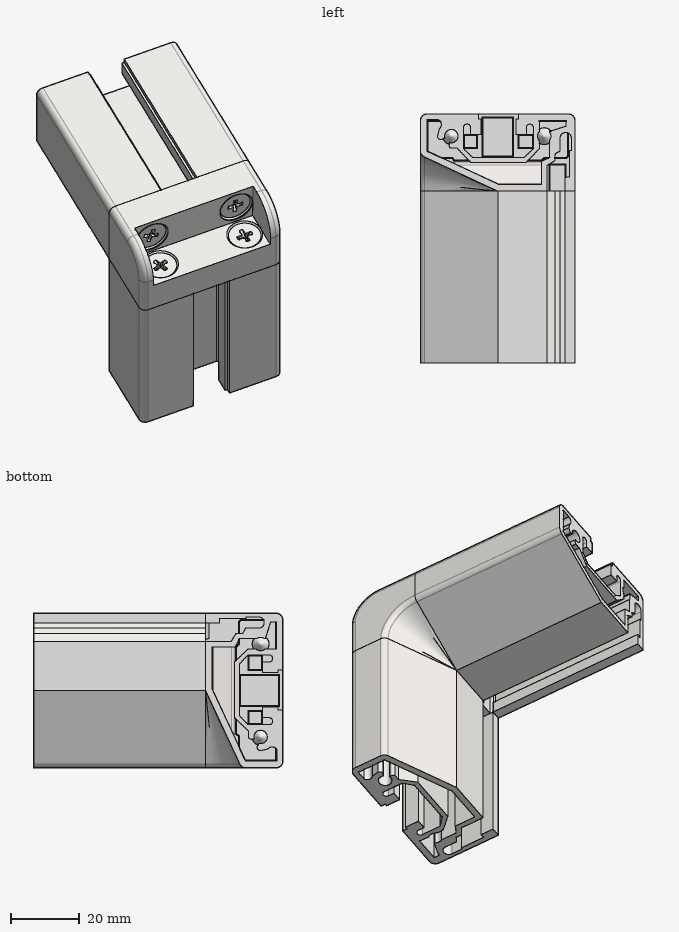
import cadquery as cq
import math


width = 45.0
thick = 22.5
arm_length = 50.0
top = arm_length + thick
edge_r = 2.0
corner_r = 10.0
flank_rise = 10.5
flank_run = 22.5
flank_slope = flank_rise / flank_run
beyond = 2.0

wall = 2.0
floor_depth = 20.6
flank_top = 10.8
chamber_top_back = 1.7
chamber_top_front = 2.0

channel_mid = 22.7
mouth_half = 5.8
lip_half = 5.05
lip_step = 1.45
lip_bottom = 5.95
groove_in_half = 8.1
channel_half = 10.15
groove_top = 3.0
channel_side_bottom = 10.15
channel_floor = 12.65
channel_floor_half = 7.5
trough_bottom = 14.15
trough_half = 8.05
trough_side_half = 11.9
trough_side = 10.1

bulge_start = 5.1
bulge_middle = (6.1, 3.0)
bulge_end = (5.5, 4.4)
finger_side = (5.0, 6.5)
finger_corner = (5.3, 7.2)
finger_tip = (6.2, 7.5)
port_mouth_top = (7.05, 7.0)
port_mouth_bottom = (8.5, 8.4)
hook_nose = (8.35, 9.3)
hook_heel = (8.8, 10.0)
hook_root = (10.7, 10.0)

front_cavity_side = 37.6
front_cavity_end = 42.4
front_cavity_end_depth = 3.6
front_cavity_lower = 5.1
ledge_depth = 12.65
inner_wall = 35.2
inner_wall_top = 13.85

slot_side = 36.75
slot_mouth_end = 42.1
slot_roof = 15.1
slot_neck = 39.1
slot_neck_top = 11.7
slot_neck_bottom = 13.6
pocket_side = 40.6
pocket_side_bottom = 10.85
pocket_end = 43.9
pocket_end_bottom = 10.7
pocket_wall = 43.4
pocket_lip = 18.4
pocket_top = 5.45

screw_across = [9.0, 36.0]
screw_turn = [-3.0, -21.0]
screw_depth = 6.5
port_r = 1.95
screw_r = 2.45
screw_length = 20.0
head_r = 4.75
head_sunk = 0.45
cross_r = 2.4
cross_width = 1.1
cross_tip_r = 0.7
cross_depth = 1.9

notch_leg = 12.5
notch_side = 3.5
notch_draft = 1.5
peg_length = 5.0
peg_inner_half = 5.85
peg_top = 6.0
peg_chamfer = 0.3
recess_depth = 1.0
recess_inset = 0.28
recess_low = 12.95
recess_draft = math.degrees(math.atan(recess_inset / recess_depth))
window_half = 4.62
window_top = 1.0
window_bottom = 12.6
duct_top = 13.75
duct_back = 9.8
duct_floor = 20.4
duct_bevel = 0.6
duct_fillet = 0.7
recess_bevel = 0.9
recess_top = 1.9
recess_flank_gap = 0.5
recess_inner_half = 10.9
recess_under_half = 7.4
front_recess_end = 43.1
slot_recess_start = 37.35
slot_recess_end = 42.35
slot_recess_roof = 14.65


def at(across, depth):
    """Section point: distance in from the back face, distance below the top."""
    return (width - across, top - depth)


def section(points, start=0.0):
    """Closed outline of section points, drawn in the plane x = start."""
    return cq.Workplane("YZ", origin=(start, 0, 0)).polyline([at(*p) for p in points]).close()


def mirrored(shape):
    """The same shape on the hanging arm (x and z exchanged)."""
    return shape.mirror(cq.Vector(1, 0, -1), (arm_length, 0, arm_length))


def profile_blank():
    outline = [(0, 0), (width, 0), (width, thick), (flank_run, thick), (0, thick - flank_rise)]
    rounded = [(0, 0), (width, 0), (0, thick - flank_rise)]
    blank = section(outline).extrude(arm_length)
    for across, depth in rounded:
        y, z = at(across, depth)
        blank = blank.edges(cq.NearestToPointSelector((arm_length / 2, y, z))).fillet(edge_r)
    return blank


def channel_cut():
    """T-shaped channel with a round-topped groove behind each lip."""
    right = [
        (mouth_half, -beyond), (mouth_half, lip_step), (lip_half, lip_step),
        (lip_half, lip_bottom), (channel_half, lip_bottom), (channel_half, channel_side_bottom),
        (channel_floor_half, channel_floor),
    ]
    outline = [(channel_mid + half, depth) for half, depth in right]
    outline += [(channel_mid - half, depth) for half, depth in reversed(right)]
    cut = section(outline).extrude(arm_length)
    groove_r = (channel_half - groove_in_half) / 2
    for side in (-1, 1):
        middle = channel_mid + side * (channel_half - groove_r)
        y, z = at(middle, groove_top + groove_r)
        height = lip_bottom - groove_top - groove_r
        round_top = cq.Workplane("YZ").center(y, z).circle(groove_r).extrude(arm_length)
        stem = cq.Workplane("YZ").center(y, z - height / 2).rect(2 * groove_r, height).extrude(arm_length)
        cut = cut.union(round_top).union(stem)
    return cut


def chamber_cut():
    """Closed hollow that wraps under the channel, with a screw port at each end."""
    trough_back = channel_mid - trough_half
    trough_front = channel_mid + trough_half
    outline = (
        cq.Workplane("YZ")
        .moveTo(*at(wall, chamber_top_back))
        .lineTo(*at(bulge_start, chamber_top_back))
        .threePointArc(at(*bulge_middle), at(*bulge_end))
        .lineTo(*at(*finger_side))
        .threePointArc(at(*finger_corner), at(*finger_tip))
        .lineTo(*at(*port_mouth_top))
        .lineTo(*at(*port_mouth_bottom))
        .threePointArc(at(*hook_nose), at(*hook_heel))
        .lineTo(*at(*hook_root))
        .lineTo(*at(trough_back, trough_bottom))
        .lineTo(*at(trough_front, trough_bottom))
    )
    front_points = [
        (channel_mid + trough_side_half, trough_side),
        (channel_mid + trough_side_half, chamber_top_front),
        (front_cavity_end, chamber_top_front),
        (front_cavity_end, front_cavity_end_depth),
        (front_cavity_side, front_cavity_lower),
        (front_cavity_side, ledge_depth),
        (inner_wall, inner_wall_top),
        (inner_wall, floor_depth),
        (wall + (floor_depth - flank_top) / flank_slope, floor_depth),
        (wall, flank_top),
    ]
    for point in front_points:
        outline = outline.lineTo(*at(*point))
    cut = outline.close().extrude(arm_length)
    ports = [at(across, screw_depth) for across in screw_across]
    return cut.union(cq.Workplane("YZ").pushPoints(ports).circle(port_r).extrude(arm_length))


def slot_cut():
    """Slot open to the underside, ending in a round-topped pocket."""
    pocket_r = (pocket_end - pocket_side) / 2
    outline = cq.Workplane("YZ").moveTo(*at(slot_side, thick + beyond))
    for point in [
        (slot_side, slot_roof), (slot_neck, slot_neck_bottom), (slot_neck, slot_neck_top),
        (pocket_side, pocket_side_bottom), (pocket_side, pocket_top + pocket_r),
    ]:
        outline = outline.lineTo(*at(*point))
    outline = outline.threePointArc(
        at(pocket_side + pocket_r, pocket_top), at(pocket_end, pocket_top + pocket_r)
    )
    for point in [
        (pocket_end, pocket_end_bottom), (pocket_wall, pocket_end_bottom), (pocket_wall, pocket_lip),
        (slot_mouth_end, pocket_lip), (slot_mouth_end, thick + beyond),
    ]:
        outline = outline.lineTo(*at(*point))
    return outline.close().extrude(arm_length)


def make_profile():
    return profile_blank().cut(channel_cut()).cut(chamber_cut()).cut(slot_cut())


def make_screw(across, turn):
    head_top = top - notch_leg - head_sunk
    y, z = at(across, screw_depth)
    body = (
        cq.Workplane("XY")
        .polyline([
            (0, 0), (0, head_r), (-(head_r - screw_r), screw_r),
            (-(screw_length - screw_r), screw_r), (-screw_length, 0),
        ])
        .close()
        .revolve(360, (0, 0, 0), (1, 0, 0))
    )
    cone = (
        cq.Workplane("YZ")
        .circle(cross_r)
        .workplane(offset=-cross_depth)
        .circle(cross_tip_r)
        .loft()
    )
    bars = (
        cq.Workplane("YZ").rect(2 * cross_r, cross_width).extrude(-cross_depth)
        .union(cq.Workplane("YZ").rect(cross_width, 2 * cross_r).extrude(-cross_depth))
    )
    cross = bars.intersect(cone).rotate((0, 0, 0), (1, 0, 0), turn)
    return body.cut(cross).translate((head_top, y, z))


def screw_hole(across):
    """Snug screw hole with a countersink that opens at the notch wall."""
    y, z = at(across, screw_depth)
    sink_r = head_r + head_sunk
    return (
        cq.Workplane("XY")
        .polyline([
            (beyond, 0), (beyond, sink_r), (0, sink_r), (screw_r - sink_r, screw_r),
            (-screw_length, screw_r), (-screw_length, 0),
        ])
        .close()
        .revolve(360, (0, 0, 0), (1, 0, 0))
        .translate((top - notch_leg, y, z))
    )


def corner_blank():
    """Block with a rounded bend; the sloping flank turns the bend as a cone."""
    blank = (
        cq.Workplane("XZ", origin=(0, width, 0))
        .rect(thick, thick)
        .extrude(width)
        .translate((arm_length + thick / 2, 0, arm_length + thick / 2))
    )
    blank = blank.edges(">X and >Z").fillet(corner_r)
    outer_leg_middle = (arm_length + top - corner_r) / 2
    for y in (0, width):
        blank = blank.edges(cq.NearestToPointSelector((outer_leg_middle, y, top))).fillet(edge_r)
    flank = (
        cq.Workplane("XY", origin=(arm_length, 0, arm_length))
        .polyline([(0, width - flank_run), (flank_rise, width), (0, width)])
        .close()
        .revolve(360, (0, 0, 0), (0, 1, 0))
    )
    blank = blank.cut(flank)
    bend_offset = flank_rise * math.sqrt(0.5)
    bend_middle = (arm_length + bend_offset, width, arm_length + bend_offset)
    return blank.edges(cq.NearestToPointSelector(bend_middle)).fillet(edge_r)


def notch_cut():
    """Notch for the screw heads, open upward and outward, with drafted walls."""
    inset = notch_leg * math.tan(math.radians(notch_draft))
    span = width - 2 * (notch_side + inset)
    length = notch_leg + beyond - inset
    start = top - notch_leg + inset
    return (
        cq.Workplane("XY", origin=(start + length / 2, width / 2, top - notch_leg))
        .rect(length, span)
        .extrude(notch_leg, taper=-notch_draft)
    )


def recess(points):
    """Recess in the corner's end face, narrowing toward its floor."""
    return section(points, arm_length).extrude(recess_depth, taper=recess_draft)


def end_recesses():
    """Shallow drafted recesses in an end face of the corner."""
    flank_start = flank_top + recess_flank_gap
    flank_at_low = wall + (recess_low - flank_start) / flank_slope
    back = recess([
        (wall, recess_top),
        (channel_mid - recess_inner_half, recess_top),
        (channel_mid - recess_inner_half, trough_side),
        (channel_mid - recess_under_half, duct_top),
        (duct_back, duct_top), (duct_back - duct_bevel, recess_low),
        (flank_at_low, recess_low), (wall, flank_start),
    ])
    front = recess([
        (channel_mid + recess_inner_half, recess_top),
        (front_recess_end, recess_top),
        (front_recess_end, recess_low - duct_bevel), (front_recess_end - duct_bevel, recess_low),
        (inner_wall + recess_bevel, recess_low), (inner_wall, duct_top),
        (channel_mid + recess_under_half, duct_top),
        (channel_mid + recess_inner_half, trough_side),
    ])
    window_back = width / 2 - window_half
    window_front = width / 2 + window_half
    window = recess([
        (window_back, window_top), (window_front, window_top),
        (window_front, window_bottom), (window_back, window_bottom),
    ])
    return back.union(front).union(window)


def slot_recess():
    """Recess facing the slot of the horizontal profile, open at the bottom."""
    low = thick + beyond
    return recess([
        (slot_recess_start, slot_recess_roof), (slot_recess_end, slot_recess_roof),
        (slot_recess_end, low), (slot_recess_start, low),
    ])


def duct_cut():
    """Pocket behind the lower chamber, its floor rising away at 45 degrees."""
    slope_end = wall + (duct_floor - flank_top) / flank_slope
    slope_start = duct_floor - (slope_end - duct_back) * flank_slope
    height = duct_floor - duct_top
    mouth = section([
        (duct_back, duct_top), (inner_wall, duct_top), (inner_wall, duct_floor),
        (slope_end, duct_floor), (duct_back, slope_start),
    ], arm_length).extrude(height)
    ceiling = top - duct_top
    ramp = (
        cq.Workplane("XZ", origin=(0, width, 0))
        .polyline([
            (arm_length, ceiling), (arm_length, ceiling - height), (arm_length + height, ceiling),
        ])
        .close()
        .extrude(width)
        .edges(">X")
        .fillet(duct_fillet)
    )
    return mouth.intersect(ramp)


def make_pegs():
    """Square pegs that fit behind the channel lips, chamfered at the tip."""
    pegs_made = []
    for side in (-1, 1):
        inner = width / 2 + side * peg_inner_half
        outer = channel_mid + side * channel_half
        outline = section([
            (inner, peg_top), (outer, peg_top), (outer, channel_side_bottom), (inner, channel_side_bottom),
        ], arm_length)
        pegs_made.append(outline.extrude(-peg_length).faces("<X").chamfer(peg_chamfer).val())
    return pegs_made


def make_corner():
    corner = corner_blank().cut(notch_cut()).cut(slot_recess())
    end_cut = end_recesses().union(duct_cut())
    for across in screw_across:
        end_cut = end_cut.union(screw_hole(across))
    end_cut = end_cut.val()
    corner = corner.cut(cq.Workplane(end_cut)).cut(cq.Workplane(mirrored(end_cut)))
    for peg in make_pegs():
        corner = corner.union(cq.Workplane(peg)).union(cq.Workplane(mirrored(peg)))
    return corner


screws = [make_screw(across, turn).val() for across, turn in zip(screw_across, screw_turn)]
profile = make_profile()
for screw in screws:
    profile = profile.cut(cq.Workplane(screw))
corner = make_corner()

bodies = [corner.val(), profile.val(), mirrored(profile.val())]
for screw in screws:
    bodies += [screw, mirrored(screw)]
result = cq.Compound.makeCompound(bodies)